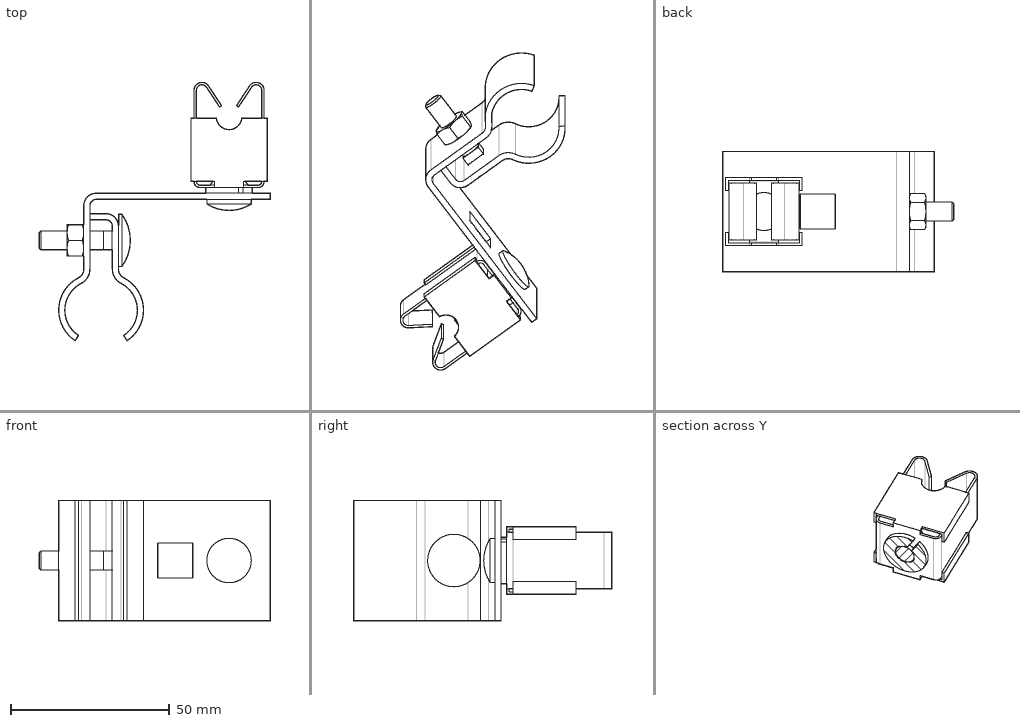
import cadquery as cq
import math


OVERALL_LENGTH = 81.6

HEIGHT = 38.0
LEG_GAP = 7.0
LEG_SPAN = 11.0
LEG_INNER = LEG_GAP / 2
LEG_OUTER = LEG_SPAN / 2
SHEET = LEG_OUTER - LEG_INNER
CORNER_INNER = SHEET
CORNER_OUTER = CORNER_INNER + SHEET
ARC_OUTER = 11.5
ARC_INNER = ARC_OUTER - SHEET
CLAMP_WIDTH = 26.85
ARC_OFFSET = CLAMP_WIDTH / 2 - ARC_OUTER
ARC_END = 33
ARC_TIP_DROP = ARC_OUTER * math.cos(math.radians(ARC_END))
NECK_INNER = 3.0
NECK_OUTER = NECK_INNER + SHEET
NECK_X = LEG_OUTER + NECK_INNER
NECK_Y = math.sqrt((ARC_OUTER + NECK_INNER) ** 2 - (NECK_X - ARC_OFFSET) ** 2)
NECK_ANGLE = math.degrees(math.atan2(NECK_Y, NECK_X - ARC_OFFSET))

PLATE_BACK = 37.0
PLATE_FRONT = PLATE_BACK - SHEET
PLATE_END = 53.45
WINDOW_X = 23.4
WINDOW_SIZE = 11.0
JAW_BACK = 30.5

BOLT_Y = 22.0
BOLT_DIAMETER = 6.0
BOLT_TIP_X = -19.6
BOLT_TIP_CHAMFER = 0.6
BOLT_NECK_X = 0.8
BOLT_HEAD_DIAMETER = 16.6
BOLT_HEAD_RIM = 1.1
BOLT_HEAD_DOME = 2.7
NUT_FLATS = 9.95
NUT_THICKNESS = 5.2
NUT_CHAMFER_ANGLE = 30

RIVET_X = 40.4
RIVET_SHANK_DIAMETER = 6.5
RIVET_HEAD_DIAMETER = 14.0
RIVET_HEAD_RIM = 1.5
RIVET_HEAD_DOME = 2.0
RIVET_TAIL_DIAMETER = 12.0
RIVET_TAIL_DOME = 3.5

WASHER_DIAMETER = 14.8
WASHER_BORE = 6.6
WASHER_THICKNESS = 1.7
WASHER_SLIT = 1.7
WASHER_SLIT_ANGLE = 60

SPRING = 0.8
FLOOR_FRONT = PLATE_BACK + WASHER_THICKNESS
FLOOR_BACK = FLOOR_FRONT + SPRING
ARM_HALF_SPAN = 11.1
ARM_WIDTH = 17.95
ARM_CORNER = 1.95
CURL_RADIUS = 2.5
CURL_Y = OVERALL_LENGTH - ARC_TIP_DROP - CURL_RADIUS
TIP_ANGLE = 33.5
TIP_LENGTH = 7.5
SHELL_HALF_WIDTH = 12.1
SHELL_HEIGHT = 21.4
SHELL_FRONT = 40.6
SHELL_BACK = 60.6
FLANGE_DEPTH = 4.0
TAB_WIDTH = 9.2
TAB_FILLET = 0.25
NOTCH_RADIUS = 4.0
NOTCH_OFFSET = 0.4


def block(x_range, y_range, z_range):
    """Axis-aligned box between the given limits."""
    x0, x1 = x_range
    y0, y1 = y_range
    z0, z1 = z_range
    return cq.Workplane("XY").box(x1 - x0, y1 - y0, z1 - z0, centered=False).translate((x0, y0, z0))


def strip(x_range, y_range, width):
    """Flat sheet centred on Z = 0."""
    return block(x_range, y_range, (-width / 2, width / 2))


def bend(center, inner, outer, start, end, width):
    """Curved sheet between two angles in degrees, centred on Z = 0."""

    def point(radius, angle):
        a = math.radians(angle)
        return (center[0] + radius * math.cos(a), center[1] + radius * math.sin(a))

    middle = (start + end) / 2
    return (
        cq.Workplane("XY")
        .moveTo(*point(outer, start))
        .threePointArc(point(outer, middle), point(outer, end))
        .lineTo(*point(inner, end))
        .threePointArc(point(inner, middle), point(inner, start))
        .close()
        .extrude(width / 2, both=True)
    )


def rod(plane, origin, diameter, length):
    """Cylinder from the origin along the positive plane normal."""
    return cq.Workplane(plane, origin=origin).circle(diameter / 2).extrude(length)


def domed_head(diameter, rim, dome):
    """Round head standing on Z = 0: a cylindrical rim topped by a spherical dome."""
    radius = diameter / 2
    sphere = (radius ** 2 + dome ** 2) / (2 * dome)
    middle_x = radius / 2
    middle_z = rim + dome - sphere + math.sqrt(sphere ** 2 - middle_x ** 2)
    profile = cq.Workplane("XZ").lineTo(radius, 0)
    if rim > 0:
        profile = profile.lineTo(radius, rim)
    return profile.threePointArc((middle_x, middle_z), (0, rim + dome)).close().revolve(360, (0, 0), (0, 1))


def clamp_half(leg_end):
    """Gripping arc, neck bend and leg on the -X side; the leg runs to Y = leg_end."""
    arc = bend((-ARC_OFFSET, 0), ARC_INNER, ARC_OUTER, 180 - NECK_ANGLE, 270 - ARC_END, HEIGHT)
    neck = bend((-NECK_X, NECK_Y), NECK_INNER, NECK_OUTER, -NECK_ANGLE, 0, HEIGHT)
    leg = strip((-LEG_OUTER, -LEG_INNER), (NECK_Y, leg_end), HEIGHT)
    return arc.union(neck).union(leg)


def make_bracket():
    corner_x = -LEG_OUTER + CORNER_OUTER
    corner_y = PLATE_BACK - CORNER_OUTER
    corner = bend((corner_x, corner_y), CORNER_INNER, CORNER_OUTER, 90, 180, HEIGHT)
    plate = strip((corner_x, PLATE_END), (PLATE_FRONT, PLATE_BACK), HEIGHT)
    window_span = (WINDOW_X - WINDOW_SIZE / 2, WINDOW_X + WINDOW_SIZE / 2)
    window = strip(window_span, (PLATE_FRONT, PLATE_BACK), WINDOW_SIZE)
    bolt_hole = rod("YZ", (-LEG_OUTER, BOLT_Y, 0), BOLT_DIAMETER, SHEET)
    rivet_hole = rod("XZ", (RIVET_X, PLATE_BACK, 0), RIVET_SHANK_DIAMETER, SHEET)
    sheet = clamp_half(corner_y).union(corner).union(plate)
    return sheet.cut(window).cut(bolt_hole).cut(rivet_hole)


def bolt_neck():
    """Square neck of the bolt, from its shank to the outer face of the jaw."""
    half = BOLT_DIAMETER / 2
    return strip((BOLT_NECK_X, LEG_OUTER), (BOLT_Y - half, BOLT_Y + half), BOLT_DIAMETER)


def make_jaw():
    corner_x = LEG_OUTER - CORNER_OUTER
    corner_y = JAW_BACK - CORNER_OUTER
    corner = bend((corner_x, corner_y), CORNER_INNER, CORNER_OUTER, 0, 90, HEIGHT)
    hook = strip((-LEG_INNER, corner_x), (JAW_BACK - SHEET, JAW_BACK), HEIGHT)
    grip = clamp_half(corner_y).mirror("YZ")
    return grip.union(corner).union(hook).cut(bolt_neck())


def make_bolt():
    shank = rod("YZ", (BOLT_TIP_X, BOLT_Y, 0), BOLT_DIAMETER, LEG_OUTER - BOLT_TIP_X)
    shank = shank.faces("<X").chamfer(BOLT_TIP_CHAMFER)
    head = domed_head(BOLT_HEAD_DIAMETER, BOLT_HEAD_RIM, BOLT_HEAD_DOME)
    head = head.rotate((0, 0, 0), (0, 1, 0), 90).translate((LEG_OUTER, BOLT_Y, 0))
    return shank.union(bolt_neck()).union(head)


def make_nut():
    corner_radius = NUT_FLATS / math.sqrt(3)
    chamfer = (corner_radius - NUT_FLATS / 2) * math.tan(math.radians(NUT_CHAMFER_ANGLE))
    hexagon = cq.Workplane("XY").polygon(6, 2 * corner_radius).extrude(NUT_THICKNESS)
    turned = (
        cq.Workplane("XZ")
        .lineTo(NUT_FLATS / 2, 0)
        .lineTo(corner_radius, chamfer)
        .lineTo(corner_radius, NUT_THICKNESS - chamfer)
        .lineTo(NUT_FLATS / 2, NUT_THICKNESS)
        .lineTo(0, NUT_THICKNESS)
        .close()
        .revolve(360, (0, 0), (0, 1))
    )
    bore = rod("XY", (0, 0, 0), BOLT_DIAMETER, NUT_THICKNESS)
    nut = hexagon.intersect(turned).cut(bore)
    return nut.rotate((0, 0, 0), (0, 1, 0), -90).translate((-LEG_OUTER, BOLT_Y, 0))


def make_rivet():
    shank = rod("XZ", (RIVET_X, FLOOR_BACK, 0), RIVET_SHANK_DIAMETER, FLOOR_BACK - PLATE_FRONT)
    head = domed_head(RIVET_HEAD_DIAMETER, RIVET_HEAD_RIM, RIVET_HEAD_DOME)
    head = head.rotate((0, 0, 0), (1, 0, 0), 90).translate((RIVET_X, PLATE_FRONT, 0))
    tail = domed_head(RIVET_TAIL_DIAMETER, 0, RIVET_TAIL_DOME)
    tail = tail.rotate((0, 0, 0), (1, 0, 0), -90).translate((RIVET_X, FLOOR_BACK, 0))
    return shank.union(head).union(tail)


def make_lock_washer():
    ring = (
        cq.Workplane("XY")
        .circle(WASHER_DIAMETER / 2)
        .circle(WASHER_BORE / 2)
        .extrude(WASHER_THICKNESS)
    )
    slit = block((0, WASHER_DIAMETER), (-WASHER_SLIT / 2, WASHER_SLIT / 2), (0, WASHER_THICKNESS))
    ring = ring.cut(slit.rotate((0, 0, 0), (0, 0, 1), -WASHER_SLIT_ANGLE))
    return ring.rotate((0, 0, 0), (1, 0, 0), -90).translate((RIVET_X, PLATE_BACK, 0))


def clip_arm():
    """Spring arm on the -X side of a clip whose rivet axis lies on X = 0."""
    corner_center = (-ARM_HALF_SPAN + ARM_CORNER, FLOOR_FRONT + ARM_CORNER)
    curl_center = (-ARM_HALF_SPAN + CURL_RADIUS, CURL_Y)
    corner = bend(corner_center, ARM_CORNER - SPRING, ARM_CORNER, 180, 270, ARM_WIDTH)
    wall = strip((-ARM_HALF_SPAN, -ARM_HALF_SPAN + SPRING), (corner_center[1], CURL_Y), ARM_WIDTH)
    curl = bend(curl_center, CURL_RADIUS - SPRING, CURL_RADIUS, TIP_ANGLE, 180, ARM_WIDTH)
    tip = strip((CURL_RADIUS - SPRING, CURL_RADIUS), (-TIP_LENGTH, 0), ARM_WIDTH)
    tip = tip.rotate((0, 0, 0), (0, 0, 1), TIP_ANGLE).translate((*curl_center, 0))
    return corner.union(wall).union(curl).union(tip)


def clip_shell_side():
    """Notched +Z wall of the clip with its two side flanges and the tab down to the floor."""
    top = SHELL_HEIGHT / 2
    wall_z = (top - SPRING, top)
    depth = (SHELL_FRONT, SHELL_BACK)
    side = block((-SHELL_HALF_WIDTH, SHELL_HALF_WIDTH), depth, wall_z)
    for outer in (-SHELL_HALF_WIDTH, SHELL_HALF_WIDTH):
        inner = outer - math.copysign(SPRING, outer)
        side = side.union(block(sorted((outer, inner)), depth, (top - FLANGE_DEPTH, top)))
    notch = rod("XY", (0, SHELL_BACK + NOTCH_OFFSET, wall_z[0]), 2 * NOTCH_RADIUS, SPRING)
    tab = block((-TAB_WIDTH / 2, TAB_WIDTH / 2), (FLOOR_FRONT, SHELL_FRONT), wall_z)
    return side.cut(notch).union(tab)


def make_clip():
    flat_half = ARM_HALF_SPAN - ARM_CORNER
    floor = strip((-flat_half, flat_half), (FLOOR_FRONT, FLOOR_BACK), ARM_WIDTH)
    floor_tabs = strip((-TAB_WIDTH / 2, TAB_WIDTH / 2), (FLOOR_FRONT, FLOOR_BACK), SHELL_HEIGHT)
    arm = clip_arm()
    side = clip_shell_side()
    clip = floor.union(floor_tabs)
    for piece in (arm, arm.mirror("YZ"), side, side.mirror("XY")):
        clip = clip.union(piece)
    tab_corner_z = SHELL_HEIGHT / 2 - SPRING
    for z in (-tab_corner_z, tab_corner_z):
        inner_corner = cq.selectors.NearestToPointSelector((0, FLOOR_BACK, z))
        clip = clip.edges(inner_corner).fillet(TAB_FILLET)
    rivet_hole = rod("XZ", (0, FLOOR_BACK, 0), RIVET_SHANK_DIAMETER, SPRING)
    return clip.cut(rivet_hole).translate((RIVET_X, 0, 0))


bracket = make_bracket()
jaw = make_jaw()
bolt = make_bolt()
nut = make_nut()
rivet = make_rivet()
lock_washer = make_lock_washer()
clip = make_clip()

result = cq.Compound.makeCompound(
    [body.solids().val() for body in (bracket, jaw, bolt, nut, rivet, lock_washer, clip)]
)